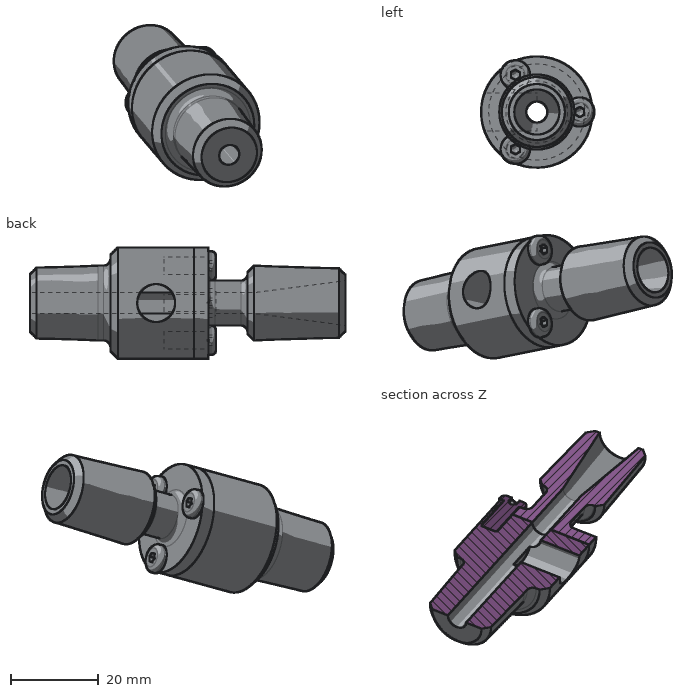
import cadquery as cq
import math


total_length = 71.95
front_cone_end = 20.85
stem_step = 22.4
flange_face = 31.3
flange_thickness = 3.25
joint = flange_face + flange_thickness
shoulder = 53.6
rear_cone_start = 56.4

body_radius = 25.4 / 2
stem_radius = 10.3 / 2
nipple_radius = 17.1 / 2
nipple_taper = 1 / 32
tip_chamfer = 1.6
neck_chamfer = stem_step - front_cone_end
body_chamfer = 1.7
root_fillet = 1.5

bore_radius = 4.75 / 2
mouth_radius = 10.3 / 2
mouth_depth = 20.85
drill_angle = 118.0

port_diameter = 8.6
port_x = 43.15

screw_count = 3
screw_circle_radius = 9.8
head_diameter = 6.7
head_height = 1.8
head_fillet = 1.15
shank_diameter = 3.95
shank_length = 10.1
socket_flats = 2.0
socket_depth = 1.45


def cone_radius(distance_from_large_end):
    """Radius of a tapered nipple at a distance from its large end."""
    return nipple_radius - nipple_taper * distance_from_large_end


def cone_depth(radius):
    """Length of a drill point of the given radius."""
    return radius / math.tan(math.radians(drill_angle / 2))


def fillet_middle(center_x, center_radius, toward_x):
    """Middle point of a quarter round root fillet, on the given side of its center along X."""
    offset = root_fillet * math.sqrt(0.5)
    return (center_x + toward_x * offset, center_radius - offset)


def screw_position(index):
    """Y and Z of a screw axis; the first screw lies on the -Y side."""
    angle = math.pi + 2 * math.pi * index / screw_count
    return screw_circle_radius * math.cos(angle), screw_circle_radius * math.sin(angle)


def revolve_about_x(profile):
    """Turn a closed profile of X and radius around the X axis."""
    return profile.close().revolve(360, (0, 0, 0), (1, 0, 0))


def rod_along_x(start, length, diameter, y=0.0, z=0.0):
    return cq.Workplane("YZ", origin=(start, y, z)).circle(diameter / 2).extrude(length)


def make_screw(index):
    """Button head screw with a hexagon socket that ends in a drill point."""
    y, z = screw_position(index)
    head_top = flange_face - head_height
    head = rod_along_x(head_top, head_height, head_diameter, y, z)
    head = head.faces("<X").edges().fillet(head_fillet)
    screw = head.union(rod_along_x(flange_face, shank_length, shank_diameter, y, z))

    corner_radius = socket_flats / 2 / math.cos(math.pi / 6)
    point_depth = cone_depth(corner_radius)
    drill_point = cq.Solid.makeCone(
        corner_radius,
        0,
        point_depth,
        cq.Vector(head_top + socket_depth, y, z),
        cq.Vector(1, 0, 0),
    )
    drilled = rod_along_x(head_top, socket_depth, 2 * corner_radius, y, z).union(cq.Workplane(drill_point))
    hexagon = (
        cq.Workplane("YZ", origin=(head_top, y, z))
        .transformed(rotate=(0, 0, 90))
        .polygon(6, 2 * corner_radius)
        .extrude(socket_depth + point_depth)
    )
    return screw.cut(hexagon.intersect(drilled))


def cut_screw_seats(body):
    """Cut the shank holes, and clear the root fillet where the screw heads sit."""
    for index in range(screw_count):
        y, z = screw_position(index)
        body = body.cut(rod_along_x(flange_face, shank_length, shank_diameter, y, z))
        body = body.cut(rod_along_x(flange_face - head_height, head_height, head_diameter, y, z))
    return body


def make_cap():
    """Tapered front nipple, stem and flange."""
    tip_radius = cone_radius(front_cone_end - tip_chamfer)
    fillet_radius = stem_radius + root_fillet
    stem_start = stem_step + root_fillet
    stem_end = flange_face - root_fillet
    profile = (
        cq.Workplane("XY")
        .moveTo(0, mouth_radius)
        .lineTo(0, tip_radius - tip_chamfer)
        .lineTo(tip_chamfer, tip_radius)
        .lineTo(front_cone_end, nipple_radius)
        .lineTo(stem_step, nipple_radius - neck_chamfer)
        .lineTo(stem_step, fillet_radius)
        .threePointArc(fillet_middle(stem_start, fillet_radius, -1), (stem_start, stem_radius))
        .lineTo(stem_end, stem_radius)
        .threePointArc(fillet_middle(stem_end, fillet_radius, 1), (flange_face, fillet_radius))
        .lineTo(flange_face, body_radius)
        .lineTo(joint, body_radius)
        .lineTo(joint, bore_radius)
        .lineTo(mouth_depth, bore_radius)
    )
    return cut_screw_seats(revolve_about_x(profile))


def make_housing():
    """Cylindrical housing with a tapered rear nipple and a port on its +Y side."""
    cone_end = total_length - tip_chamfer
    tip_radius = cone_radius(cone_end - rear_cone_start)
    fillet_radius = nipple_radius + root_fillet
    fillet_end = shoulder + root_fillet
    profile = (
        cq.Workplane("XY")
        .moveTo(joint, bore_radius)
        .lineTo(joint, body_radius)
        .lineTo(shoulder - body_chamfer, body_radius)
        .lineTo(shoulder, body_radius - body_chamfer)
        .lineTo(shoulder, fillet_radius)
        .threePointArc(fillet_middle(fillet_end, fillet_radius, -1), (fillet_end, nipple_radius))
        .lineTo(rear_cone_start, nipple_radius)
        .lineTo(cone_end, tip_radius)
        .lineTo(total_length, tip_radius - tip_chamfer)
        .lineTo(total_length, bore_radius)
    )
    port = cq.Workplane("XZ", origin=(port_x, 0, 0)).circle(port_diameter / 2).extrude(-body_radius)
    return cut_screw_seats(revolve_about_x(profile).cut(port))


cap = make_cap()
housing = make_housing()
screws = [make_screw(index) for index in range(screw_count)]

result = cq.Compound.makeCompound([cap.val(), housing.val(), *[screw.val() for screw in screws]])